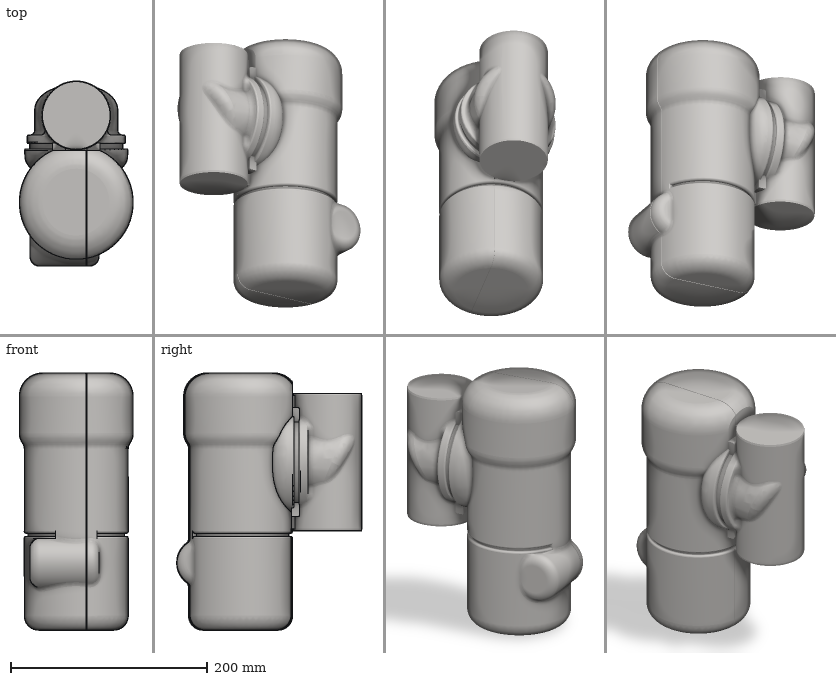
import cadquery as cq
import math

BODY_RADIUS = 53.0
BODY_HEIGHT = 262.0
BODY_BASE_FILLET = 15.0

HEAD_RADIUS = 58.0
HEAD_TOP_FILLET = 24.0
HEAD_BOTTOM_Z = 200.5
HEAD_CONVEX_RADIUS = 17.0
NECK_CONCAVE_RADIUS = 10.0

GROOVE_Z = 97.2
GROOVE_FLOOR_WIDTH = 3.0
GROOVE_DEPTH = 3.7
GROOVE_LIP_RADIUS = 2.3
GROOVE_BRIDGE_HALF_WIDTH = 21.0

HANDLE_RADIUS = 25.0
HANDLE_Y = -40.0
HANDLE_Z = 68.7
HANDLE_LEFT_X = -47.2
HANDLE_RIGHT_X = 23.2
HANDLE_END_FILLET = 10.0
HANDLE_BLEND_RADIUS = 5.0

PIPE_RADIUS = 35.0
PIPE_Y = 88.5
PIPE_LENGTH = 140.0
PIPE_BOTTOM_Z = 101.2
PIPE_RIM_INSET = 0.5
PIPE_RIM_HEIGHT = 2.0
BRANCH_Z = PIPE_BOTTOM_Z + PIPE_LENGTH / 2

REAR_FLANGE_RADIUS = 50.0
REAR_FLANGE_START_Y = 59.7
REAR_FLANGE_END_Y = 68.5
REAR_FLANGE_EDGE_FILLET = 1.5
JOINT_WAIST_RADIUS = 47.5
FRONT_FLANGE_RADIUS = 52.5
FRONT_FLANGE_START_Y = 31.0
FRONT_FLANGE_END_Y = 54.5
FRONT_FLANGE_FILLET = 17.0
FRONT_FLANGE_EDGE_FILLET = 1.5

TAB_HALF_HEIGHT = 55.6
TAB_HALF_WIDTH = 24.0
TAB_START_Y = 52.0
TAB_END_Y = 60.2
TAB_CORNER_FILLET = 2.0

WEB_HALF_WIDTH = 11.0
WEB_START_Y = 50.0
WEB_END_Y = 60.0

ELBOW_HALF_WIDTH = 42.5
ELBOW_HALF_HEIGHT = 37.0
ELBOW_BACK_Y = 105.0
ELBOW_BACK_SLOPE = 0.61
ELBOW_BACK_FILLET = 10.0

BRANCH_BLEND_RADIUS = 4.5

PARTING_X = 10.3
PARTING_WIDTH = 0.8
PARTING_DEPTH = 0.6

EDGE_SAMPLES = (0.1, 0.37, 0.8)
SKIN_TOLERANCE = 0.001


def along_y(radius, start_y, end_y):
    """Round disc on the branch axis, between two Y stations."""
    return (
        cq.Workplane("XZ", origin=(0, start_y, BRANCH_Z))
        .circle(radius)
        .extrude(start_y - end_y)
    )


def make_housing(inset=0.0):
    """Body and head as one revolved solid, optionally shrunk by an inset."""
    body_r = BODY_RADIUS - inset
    head_r = HEAD_RADIUS - inset
    convex_r = HEAD_CONVEX_RADIUS - inset
    concave_r = NECK_CONCAVE_RADIUS + inset
    base_r = BODY_BASE_FILLET - inset
    top_r = HEAD_TOP_FILLET - inset
    base_z = inset
    top_z = BODY_HEIGHT - inset
    diagonal = math.sqrt(0.5)

    turn = math.acos(1 - (head_r - body_r) / (convex_r + concave_r))
    meet_r = head_r - convex_r * (1 - math.cos(turn))
    meet_z = HEAD_BOTTOM_Z - convex_r * math.sin(turn)
    neck_z = meet_z - concave_r * math.sin(turn)
    convex_mid = (
        head_r - convex_r * (1 - math.cos(turn / 2)),
        HEAD_BOTTOM_Z - convex_r * math.sin(turn / 2),
    )
    concave_mid = (
        body_r + concave_r * (1 - math.cos(turn / 2)),
        neck_z + concave_r * math.sin(turn / 2),
    )
    base_mid = (body_r - base_r * (1 - diagonal), base_z + base_r * (1 - diagonal))
    top_mid = (head_r - top_r * (1 - diagonal), top_z - top_r * (1 - diagonal))

    solid = (
        cq.Workplane("XZ")
        .moveTo(0, base_z)
        .lineTo(body_r - base_r, base_z)
        .threePointArc(base_mid, (body_r, base_z + base_r))
        .lineTo(body_r, neck_z)
        .threePointArc(concave_mid, (meet_r, meet_z))
        .threePointArc(convex_mid, (head_r, HEAD_BOTTOM_Z))
        .lineTo(head_r, top_z - top_r)
        .threePointArc(top_mid, (head_r - top_r, top_z))
        .lineTo(0, top_z)
        .close()
        .revolve(360, (0, 0, 0), (0, 1, 0))
    )
    flat_keep = (
        cq.Workplane("XY")
        .box(2 * HEAD_RADIUS, HEAD_RADIUS + body_r, BODY_HEIGHT, centered=(True, False, False))
        .translate((0, -HEAD_RADIUS, 0))
    )
    return solid.intersect(flat_keep)


def make_handle(inset=0.0):
    """Round knob along X with rounded ends."""
    return (
        cq.Workplane("YZ", origin=(HANDLE_LEFT_X + inset, HANDLE_Y, HANDLE_Z))
        .circle(HANDLE_RADIUS - inset)
        .extrude(HANDLE_RIGHT_X - HANDLE_LEFT_X - 2 * inset)
        .edges()
        .fillet(HANDLE_END_FILLET - inset)
    )


def make_ring_groove():
    """Cutter for the ring groove with rounded lips, leaving the bridge uncut."""
    floor_r = BODY_RADIUS - GROOVE_DEPTH
    lip_r = BODY_RADIUS - GROOVE_LIP_RADIUS
    half_floor = GROOVE_FLOOR_WIDTH / 2
    half_mouth = half_floor + GROOVE_LIP_RADIUS
    lip_mid_r = lip_r + GROOVE_LIP_RADIUS * math.sqrt(0.5)
    lip_mid_z = half_mouth - GROOVE_LIP_RADIUS * math.sqrt(0.5)
    ring = (
        cq.Workplane("XZ", origin=(0, 0, GROOVE_Z))
        .moveTo(floor_r, -half_floor)
        .lineTo(lip_r, -half_floor)
        .threePointArc((lip_mid_r, -lip_mid_z), (BODY_RADIUS, -half_mouth))
        .lineTo(HEAD_RADIUS, -half_mouth)
        .lineTo(HEAD_RADIUS, half_mouth)
        .lineTo(BODY_RADIUS, half_mouth)
        .threePointArc((lip_mid_r, lip_mid_z), (lip_r, half_floor))
        .lineTo(floor_r, half_floor)
        .close()
        .revolve(360, (0, 0, 0), (0, 1, 0))
    )
    bridge = (
        cq.Workplane("XY", origin=(0, -HEAD_RADIUS / 2, GROOVE_Z))
        .box(2 * GROOVE_BRIDGE_HALF_WIDTH, HEAD_RADIUS, 2 * half_mouth)
    )
    return ring.cut(bridge)


def make_parting_groove():
    """Cutter for the shallow slot that follows the housing and handle surface."""
    slab = (
        cq.Workplane("YZ", origin=(PARTING_X - PARTING_WIDTH / 2, 0, 0))
        .rect(4 * HEAD_RADIUS, 4 * BODY_HEIGHT)
        .extrude(PARTING_WIDTH)
    )
    skin = make_housing().union(make_handle())
    core = make_housing(PARTING_DEPTH).union(make_handle(PARTING_DEPTH))
    return skin.intersect(slab).cut(core)


def make_pipe():
    """Vertical pipe with a slim chamfer at both rims."""
    return (
        cq.Workplane("XY", origin=(0, PIPE_Y, PIPE_BOTTOM_Z))
        .circle(PIPE_RADIUS)
        .extrude(PIPE_LENGTH)
        .faces("<Z or >Z")
        .edges()
        .chamfer(PIPE_RIM_HEIGHT, PIPE_RIM_INSET)
    )


def make_elbow():
    """Oval boss along Y, closed by a slanted back face with a rounded edge."""
    low_y = ELBOW_BACK_Y - ELBOW_BACK_SLOPE * HEAD_RADIUS
    high_y = ELBOW_BACK_Y + ELBOW_BACK_SLOPE * HEAD_RADIUS
    oval = (
        cq.Workplane("XZ", origin=(0, REAR_FLANGE_START_Y, BRANCH_Z))
        .ellipse(ELBOW_HALF_WIDTH, ELBOW_HALF_HEIGHT)
        .extrude(REAR_FLANGE_START_Y - high_y)
    )
    behind_back = (
        cq.Workplane("YZ", origin=(-HEAD_RADIUS, 0, BRANCH_Z))
        .polyline([(low_y, -HEAD_RADIUS), (high_y, -HEAD_RADIUS), (high_y, HEAD_RADIUS)])
        .close()
        .extrude(2 * HEAD_RADIUS)
    )
    return oval.cut(behind_back).faces(">Y").edges().fillet(ELBOW_BACK_FILLET)


def make_rear_flange():
    """Flange on the pipe side, with rounded edges."""
    return (
        along_y(REAR_FLANGE_RADIUS, REAR_FLANGE_START_Y, REAR_FLANGE_END_Y)
        .edges()
        .fillet(REAR_FLANGE_EDGE_FILLET)
    )


def make_joint():
    """Waist, front flange rounded towards the housing, and tab plate on the pipe."""
    waist = along_y(
        JOINT_WAIST_RADIUS,
        FRONT_FLANGE_END_Y - FRONT_FLANGE_EDGE_FILLET,
        REAR_FLANGE_START_Y + REAR_FLANGE_EDGE_FILLET,
    )
    front = (
        along_y(FRONT_FLANGE_RADIUS, FRONT_FLANGE_START_Y, FRONT_FLANGE_END_Y)
        .faces("<Y")
        .edges()
        .fillet(FRONT_FLANGE_FILLET)
        .faces(">Y")
        .edges()
        .fillet(FRONT_FLANGE_EDGE_FILLET)
    )
    tab = (
        cq.Workplane("XZ", origin=(0, TAB_START_Y, BRANCH_Z))
        .rect(2 * TAB_HALF_WIDTH, 2 * TAB_HALF_HEIGHT)
        .extrude(TAB_START_Y - TAB_END_Y)
        .faces(">Y")
        .edges("|X")
        .fillet(TAB_CORNER_FILLET)
    )
    return waist.union(front).union(tab)


def make_web():
    """Narrow web that closes the gap between the pipe and the flat of the housing."""
    return (
        cq.Workplane("XY", origin=(0, 0, PIPE_BOTTOM_Z + PIPE_RIM_HEIGHT))
        .rect(2 * WEB_HALF_WIDTH, WEB_END_Y - WEB_START_Y)
        .extrude(PIPE_LENGTH - 2 * PIPE_RIM_HEIGHT)
        .translate((0, (WEB_START_Y + WEB_END_Y) / 2, 0))
    )


def lies_on(edge, part):
    """True when sample points along the edge sit on the outer skin of the part."""
    skin = part.val().Shells()[0]
    points = [edge.positionAt(share) for share in EDGE_SAMPLES]
    return all(
        cq.Vertex.makeVertex(point.x, point.y, point.z).distance(skin) < SKIN_TOLERANCE
        for point in points
    )


def shared_edges(solid, first, second):
    """Edges of a joined solid where the skins of two of its parts meet."""
    return [
        edge
        for edge in solid.edges().vals()
        if lies_on(edge, first) and lies_on(edge, second)
    ]


def make_housing_with_handle():
    """Housing and handle with their blend and the parting groove."""
    housing = make_housing()
    handle = make_handle()
    joined = housing.union(handle)
    blended = joined.newObject(shared_edges(joined, housing, handle)).fillet(HANDLE_BLEND_RADIUS)
    return blended.cut(make_parting_groove())


def make_pipe_branch():
    """Pipe, rear flange and elbow, blended where they meet behind the flange front."""
    pipe = make_pipe()
    flange = make_rear_flange()
    elbow = make_elbow()
    joined = pipe.union(flange).union(elbow)
    meeting = (
        shared_edges(joined, pipe, elbow)
        + shared_edges(joined, flange, elbow)
        + shared_edges(joined, pipe, flange)
    )
    blend_start_y = REAR_FLANGE_START_Y + REAR_FLANGE_EDGE_FILLET / 2
    blend_edges = [edge for edge in meeting if edge.Center().y > blend_start_y]
    return joined.newObject(blend_edges).fillet(BRANCH_BLEND_RADIUS)


result = (
    make_housing_with_handle()
    .union(make_pipe_branch().union(make_joint()))
    .union(make_web())
    .cut(make_ring_groove())
)